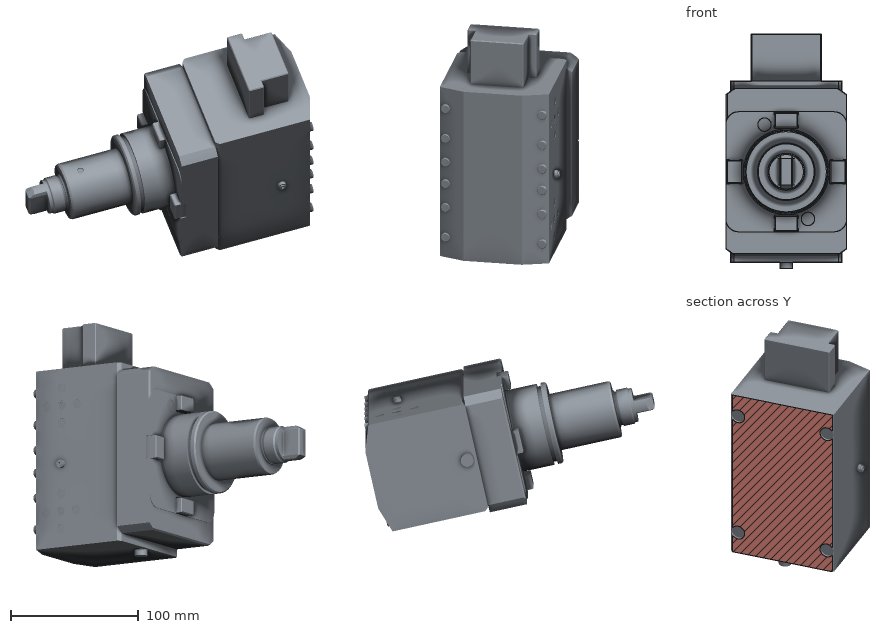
import cadquery as cq
import math


BODY_WIDTH = 87.0
BODY_HEIGHT = 142.0
BODY_FRONT = 30.5
BODY_BACK = 114.7
BACK_FLAT_HALF = 23.2
BACK_SLOPE = 19.0
BODY_FRONT_CHAMFER = 2.7
BOLT_POCKET_DIAMETER = 11.0
BOLT_POCKET_X = 37.5
BOLT_POCKET_Z = 52.5
BOLT_POCKET_DEPTH = 3.0

FLANGE_WIDTH = 94.6
FLANGE_HEIGHT = 130.0
FLANGE_TURNED_RADIUS = 76.6
FLANGE_FACE = 0.6
FLANGE_EDGE_CHAMFER = 1.2
SIDE_BEVEL = 1.2
SIDE_BEVEL_BOTTOM = 36.5
FACE_HEIGHT = 94.0
FACE_CORNER_RADIUS = 10.0
FACE_RECESS_DIAMETER = 67.0

KEY_WIDTH = 18.0
KEY_INNER = 35.1
KEY_OUTER = 46.5
KEY_SEAT_INNER = 34.0
KEY_ROOT = 4.2
KEY_PROTRUSION = 5.0
KEY_CHAMFER = 0.7
KEY_RELIEF_RADIUS = 1.5
KEY_RELIEF_OFFSET = 8.2
KEY_RELIEF_HEIGHTS = [35.5, 45.5]

COLLAR_ROOT_DIAMETER = 64.6
COLLAR_DIAMETER = 65.0
COLLAR_ROOT_END = 1.1
COLLAR_START = 1.8
COLLAR_END = 24.5
GROOVE_DIAMETER = 60.3
GROOVE_END = 27.9
RING_END = 32.0
SHANK_DIAMETER = 45.0
SHANK_END = 81.2
RING_CHAMFER = 1.1
SHANK_CHAMFER_LENGTH = 1.5
SHANK_CHAMFER_DEPTH = 0.6
NOSE_DIAMETER = 29.0
NECK_DIAMETER = 27.0
NECK_START = 82.6
NECK_END = 84.5
NOSE_END = 92.9
NOSE_CHAMFER = 1.0
TANG_START = 96.4
TANG_TIP = 111.3
TANG_WIDTH = 10.0
TANG_FILLET = 1.3
TANG_CHAMFER = 1.0
TANG_TIP_CHAMFER_LENGTH = 1.5
TANG_FLAT_HALF_HEIGHT = 10.3
TANG_EDGE_CHAMFER_HEIGHT = 2.6
TANG_SLOPE_LENGTH = 5.3
TANG_SLOPE = 30.0
SHANK_HOLE_DIAMETER = 5.5
SHANK_HOLE_DEPTH = 1.0
SHANK_HOLE_DISTANCE = 67.2

BLOCK_TOP = 108.0
BLOCK_FRONT = 62.8
BLOCK_STEP = 75.3
BLOCK_BACK = 97.6
BLOCK_WIDE = 55.0
BLOCK_NARROW = 42.5
BLOCK_CHAMFER = 0.7

MARK_DEPTH = 0.2
FACE_PLUG_DIAMETER = 10.5
FACE_PLUG_X = 17.0
FACE_PLUG_Z = 36.9
PORT_HEX_SIZE = 7.5
PORT_DIAMETER = 5.5
PORT_DEPTH = 0.4
PORT_PLUG_DIAMETER = 7.3
PORT_PLUG_SPACING = 13.8
PORT_CENTRES = [(83.8, 41.6), (84.8, -42.5)]
NIPPLE_Y = 84.2
NIPPLE_Z = -4.9
NIPPLE_DIAMETER = 6.37
NIPPLE_LENGTH = 2.5
NIPPLE_NECK_DIAMETER = 4.2
NIPPLE_TIP_DIAMETER = 5.2
NIPPLE_TIP_LENGTH = 0.3
NIPPLE_BORE_DIAMETER = 2.1
BACK_SCREW_DIAMETER = 7.2
BACK_SCREW_X = 38.5
BACK_SCREW_TOP = 111.3
BACK_SCREW_LENGTH = 8.0
BACK_SCREW_CHAMFER = 0.4
BACK_SCREW_HEIGHTS = [9.0, 29.0, 54.0]
STUD_DIAMETER = 10.0
STUD_Y = 38.2
STUD_BOTTOM = -75.83

OVERLAP = 1.0


def y_cylinder(diameter, x, z, y_start, y_end):
    """Cylinder along Y between y_start and y_end."""
    plane = cq.Workplane("XZ", origin=(0, y_start, 0))
    return plane.center(x, z).circle(diameter / 2).extrude(y_start - y_end)


def x_cylinder(diameter, y, z, x_start, x_end):
    """Cylinder along X between x_start and x_end."""
    plane = cq.Workplane("YZ", origin=(x_start, 0, 0))
    return plane.center(y, z).circle(diameter / 2).extrude(x_end - x_start)


def box(x_range, y_range, z_range):
    """Box given by its limits along each axis."""
    lengths = [high - low for low, high in (x_range, y_range, z_range)]
    corner = (x_range[0], y_range[0], z_range[0])
    return cq.Workplane("XY").box(*lengths, centered=False).translate(corner)


def make_body():
    half_width = BODY_WIDTH / 2
    slope_drop = (half_width - BACK_FLAT_HALF) * math.tan(math.radians(BACK_SLOPE))
    right_side = [
        (half_width - BODY_FRONT_CHAMFER, BODY_FRONT),
        (half_width, BODY_FRONT + BODY_FRONT_CHAMFER),
        (half_width, BODY_BACK - slope_drop),
        (BACK_FLAT_HALF, BODY_BACK),
    ]
    left_side = [(-x, y) for x, y in reversed(right_side)]
    plane = cq.Workplane("XY", origin=(0, 0, -BODY_HEIGHT / 2))
    body = plane.polyline(right_side + left_side).close().extrude(BODY_HEIGHT)
    pocket_end = BODY_FRONT + BOLT_POCKET_DEPTH
    for x in (-BOLT_POCKET_X, BOLT_POCKET_X):
        for z in (-BOLT_POCKET_Z, BOLT_POCKET_Z):
            body = body.cut(y_cylinder(BOLT_POCKET_DIAMETER, x, z, BODY_FRONT, pocket_end))
    return body


def make_flange():
    half_width = FLANGE_WIDTH / 2
    half_height = FLANGE_HEIGHT / 2
    plate = box(
        (-half_width, half_width),
        (FLANGE_FACE, BODY_FRONT),
        (-half_height, half_height),
    )
    plate = plate.edges("<Y and <Z").chamfer(FLANGE_EDGE_CHAMFER)
    turned = y_cylinder(2 * FLANGE_TURNED_RADIUS, 0, 0, FLANGE_FACE, BODY_FRONT)
    plate = plate.intersect(turned)
    bevel = (
        cq.Workplane("XY", origin=(0, 0, SIDE_BEVEL_BOTTOM))
        .moveTo(-half_width, FLANGE_FACE)
        .lineTo(-half_width + SIDE_BEVEL, FLANGE_FACE)
        .lineTo(-half_width, FLANGE_FACE + SIDE_BEVEL)
        .close()
        .extrude(half_height - SIDE_BEVEL_BOTTOM)
    )
    face = box(
        (-half_width, half_width),
        (0, FLANGE_FACE + OVERLAP),
        (-FACE_HEIGHT / 2, FACE_HEIGHT / 2),
    )
    face = face.edges("|Y").fillet(FACE_CORNER_RADIUS)
    recess = y_cylinder(FACE_RECESS_DIAMETER, 0, 0, 0, FLANGE_FACE)
    return plate.cut(bevel).union(face).cut(recess)


def make_shank():
    """Turned shank, as a half outline of (radius, Y) revolved about Y."""
    outline = [
        (0, FLANGE_FACE + OVERLAP),
        (COLLAR_ROOT_DIAMETER / 2, FLANGE_FACE + OVERLAP),
        (COLLAR_ROOT_DIAMETER / 2, -COLLAR_ROOT_END),
        (COLLAR_DIAMETER / 2, -COLLAR_START),
        (COLLAR_DIAMETER / 2, -COLLAR_END),
        (GROOVE_DIAMETER / 2, -COLLAR_END),
        (GROOVE_DIAMETER / 2, -GROOVE_END),
        (COLLAR_DIAMETER / 2, -GROOVE_END),
        (COLLAR_DIAMETER / 2, -RING_END + RING_CHAMFER),
        (COLLAR_DIAMETER / 2 - RING_CHAMFER, -RING_END),
        (SHANK_DIAMETER / 2, -RING_END),
        (SHANK_DIAMETER / 2, -SHANK_END + SHANK_CHAMFER_LENGTH),
        (SHANK_DIAMETER / 2 - SHANK_CHAMFER_DEPTH, -SHANK_END),
        (NOSE_DIAMETER / 2, -SHANK_END),
        (NOSE_DIAMETER / 2, -NECK_START),
        (NECK_DIAMETER / 2, -NECK_START),
        (NECK_DIAMETER / 2, -NECK_END),
        (NOSE_DIAMETER / 2, -NECK_END),
        (NOSE_DIAMETER / 2, -NOSE_END),
        (NECK_DIAMETER / 2, -NOSE_END - NOSE_CHAMFER),
        (NECK_DIAMETER / 2, -TANG_START),
        (0, -TANG_START),
    ]
    shank = cq.Workplane("XY").polyline(outline).close().revolve(360, (0, 0, 0), (0, 1, 0))
    hole = (
        cq.Workplane("XY", origin=(0, -SHANK_HOLE_DISTANCE, SHANK_DIAMETER / 2 - SHANK_HOLE_DEPTH))
        .circle(SHANK_HOLE_DIAMETER / 2)
        .extrude(SHANK_HOLE_DEPTH + OVERLAP)
    )
    return shank.cut(hole)


def make_tang():
    """Flat driving tang, rounded into the nose and sloped at its tip."""
    half_width = TANG_WIDTH / 2
    radius = NECK_DIAMETER / 2
    tip_half = half_width - TANG_CHAMFER
    tang = (
        cq.Workplane("XY", origin=(0, 0, -radius))
        .moveTo(-half_width - TANG_FILLET, -TANG_START)
        .radiusArc((-half_width, -TANG_START - TANG_FILLET), TANG_FILLET)
        .lineTo(-half_width, -TANG_TIP + TANG_TIP_CHAMFER_LENGTH)
        .lineTo(-tip_half, -TANG_TIP)
        .lineTo(tip_half, -TANG_TIP)
        .lineTo(half_width, -TANG_TIP + TANG_TIP_CHAMFER_LENGTH)
        .lineTo(half_width, -TANG_START - TANG_FILLET)
        .radiusArc((half_width + TANG_FILLET, -TANG_START), TANG_FILLET)
        .lineTo(half_width + TANG_FILLET, -TANG_START + OVERLAP)
        .lineTo(-half_width - TANG_FILLET, -TANG_START + OVERLAP)
        .close()
        .extrude(2 * radius)
    )
    tip_height = radius - TANG_SLOPE_LENGTH * math.tan(math.radians(TANG_SLOPE))
    upper_side = [
        (-TANG_START + OVERLAP, radius),
        (-TANG_TIP + TANG_SLOPE_LENGTH, radius),
        (-TANG_TIP, tip_height),
    ]
    lower_side = [(y, -z) for y, z in reversed(upper_side)]
    side_outline = (
        cq.Workplane("YZ")
        .polyline(upper_side + lower_side)
        .close()
        .extrude(radius, both=True)
    )
    turned = y_cylinder(NECK_DIAMETER, 0, 0, -TANG_TIP, -TANG_START + OVERLAP)
    tang = tang.intersect(side_outline).intersect(turned)
    for x_sign in (-1, 1):
        for z_sign in (-1, 1):
            tang = tang.cut(make_tang_edge_cut(x_sign, z_sign))
    return tang


def make_tang_edge_cut(x_sign, z_sign):
    """Cutter for the steep chamfer on one long edge of the tang."""
    inner_x = TANG_WIDTH / 2 - TANG_CHAMFER
    outer_x = TANG_WIDTH / 2 + TANG_FILLET
    chamfer_top = TANG_FLAT_HALF_HEIGHT + TANG_EDGE_CHAMFER_HEIGHT
    corners = [
        (TANG_WIDTH / 2, TANG_FLAT_HALF_HEIGHT),
        (inner_x, chamfer_top),
        (inner_x, NECK_DIAMETER / 2),
        (outer_x, NECK_DIAMETER / 2),
        (outer_x, TANG_FLAT_HALF_HEIGHT),
    ]
    outline = [(x_sign * x, z_sign * z) for x, z in corners]
    plane = cq.Workplane("XZ", origin=(0, -TANG_START, 0))
    return plane.polyline(outline).close().extrude(TANG_TIP - TANG_START)


def make_key_seat(reach):
    """Seat of the upper key with relieved corners, running out to Z = reach."""
    half = KEY_WIDTH / 2
    seat = box((-half, half), (0, KEY_ROOT), (KEY_SEAT_INNER, reach))
    for x in (-KEY_RELIEF_OFFSET, KEY_RELIEF_OFFSET):
        for z in KEY_RELIEF_HEIGHTS:
            seat = seat.union(y_cylinder(2 * KEY_RELIEF_RADIUS, x, z, 0, KEY_ROOT))
    return seat


def make_key():
    half = KEY_WIDTH / 2
    key = box((-half, half), (-KEY_PROTRUSION, KEY_ROOT), (KEY_INNER, KEY_OUTER))
    return key.faces("<Y").edges("not <Z").chamfer(KEY_CHAMFER)


def add_keys(part):
    vertical_reach = FACE_HEIGHT / 2
    side_reach = FLANGE_WIDTH / 2
    for quarter, reach in enumerate([vertical_reach, side_reach] * 2):
        angle = 90 * quarter
        part = part.cut(make_key_seat(reach).rotate((0, 0, 0), (0, 1, 0), angle))
        part = part.union(make_key().rotate((0, 0, 0), (0, 1, 0), angle))
    return part


def make_block():
    """T-shaped block with every outer corner and the top edge chamfered."""
    wide = BLOCK_WIDE / 2
    narrow = BLOCK_NARROW / 2
    height_range = (BODY_HEIGHT / 2 - OVERLAP, BLOCK_TOP)
    crossbar = box((-wide, wide), (BLOCK_FRONT, BLOCK_STEP), height_range)
    crossbar = crossbar.edges("|Z").chamfer(BLOCK_CHAMFER)
    stem = box((-narrow, narrow), (BLOCK_STEP - OVERLAP, BLOCK_BACK), height_range)
    stem = stem.edges("|Z and >Y").chamfer(BLOCK_CHAMFER)
    block = crossbar.union(stem).clean()
    return block.faces(">Z").edges().chamfer(BLOCK_CHAMFER)


def cut_face_plugs(part):
    for sign in (-1, 1):
        plug = y_cylinder(FACE_PLUG_DIAMETER, sign * FACE_PLUG_X, -sign * FACE_PLUG_Z, 0, MARK_DEPTH)
        part = part.cut(plug)
    return part


def cut_side_ports(part):
    """Hexagonal port plugs, each ringed by four round plugs."""
    side = -BODY_WIDTH / 2
    for y, z in PORT_CENTRES:
        hexagon = (
            cq.Workplane("YZ", origin=(side, y, z))
            .polygon(6, PORT_HEX_SIZE, circumscribed=True)
            .extrude(MARK_DEPTH)
        )
        part = part.cut(hexagon)
        part = part.cut(x_cylinder(PORT_DIAMETER, y, z, side, side + PORT_DEPTH))
        for quarter in range(4):
            angle = math.radians(90 * quarter)
            plug_y = y + PORT_PLUG_SPACING * math.cos(angle)
            plug_z = z + PORT_PLUG_SPACING * math.sin(angle)
            part = part.cut(x_cylinder(PORT_PLUG_DIAMETER, plug_y, plug_z, side, side + MARK_DEPTH))
    return part


def make_nipple(side):
    """Lubrication nipple on one side; side is -1 or +1."""
    base = BODY_WIDTH / 2
    tip = FLANGE_WIDTH / 2
    root = side * (base - OVERLAP)
    nipple = x_cylinder(NIPPLE_DIAMETER, NIPPLE_Y, NIPPLE_Z, root, side * (base + NIPPLE_LENGTH))
    neck = x_cylinder(NIPPLE_NECK_DIAMETER, NIPPLE_Y, NIPPLE_Z, root, side * tip)
    head_start = side * (tip - NIPPLE_TIP_LENGTH)
    head = x_cylinder(NIPPLE_TIP_DIAMETER, NIPPLE_Y, NIPPLE_Z, head_start, side * tip)
    bore = x_cylinder(NIPPLE_BORE_DIAMETER, NIPPLE_Y, NIPPLE_Z, side * base, side * tip)
    return nipple.union(neck).union(head).cut(bore)


def make_back_screw(x, z):
    start = BACK_SCREW_TOP - BACK_SCREW_LENGTH
    screw = y_cylinder(BACK_SCREW_DIAMETER, x, z, start, BACK_SCREW_TOP)
    return screw.faces(">Y").edges().chamfer(BACK_SCREW_CHAMFER)


def make_stud():
    """Round stud under the housing."""
    top = -BODY_HEIGHT / 2 + OVERLAP
    plane = cq.Workplane("XY", origin=(0, STUD_Y, STUD_BOTTOM))
    return plane.circle(STUD_DIAMETER / 2).extrude(top - STUD_BOTTOM)


holder = make_body().union(make_flange())
holder = add_keys(holder)
holder = cut_face_plugs(holder)
holder = cut_side_ports(holder)
holder = holder.union(make_shank()).union(make_tang())
holder = holder.union(make_block()).union(make_stud())
for side in (-1, 1):
    holder = holder.union(make_nipple(side))
    for height in BACK_SCREW_HEIGHTS:
        for z in (-height, height):
            holder = holder.union(make_back_screw(side * BACK_SCREW_X, z))

result = holder